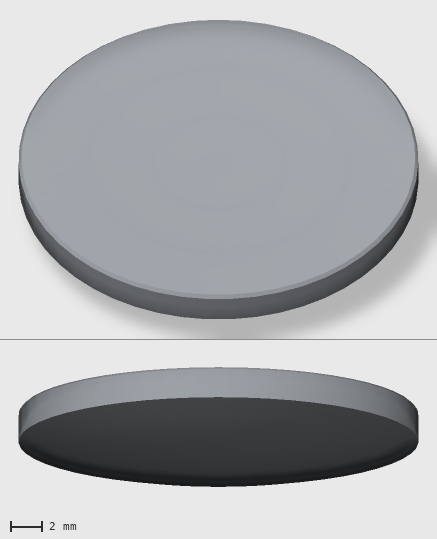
import cadquery as cq
import math

diameter = 25.4
convex_radius = 47.9
concave_radius = 145.0
rim_thickness = 2.0
bevel = 0.2

lens_radius = diameter / 2
upper_face_radius = lens_radius - bevel


def sagitta(sphere_radius, aperture_radius):
    """Depth of a spherical cap with the given aperture radius."""
    return sphere_radius - math.sqrt(sphere_radius**2 - aperture_radius**2)


rim_bottom = sagitta(convex_radius, lens_radius)
rim_top = rim_bottom + rim_thickness
concave_centre = rim_top - sagitta(concave_radius, upper_face_radius)

convex_middle = (lens_radius / 2, sagitta(convex_radius, lens_radius / 2))
concave_middle = (
    upper_face_radius / 2,
    concave_centre + sagitta(concave_radius, upper_face_radius / 2),
)


def revolved_lens():
    """Half section in the YZ plane, revolved once around the optical axis."""
    half_section = (
        cq.Workplane("YZ")
        .moveTo(0, 0)
        .threePointArc(convex_middle, (lens_radius, rim_bottom))
        .lineTo(lens_radius, rim_top - bevel)
        .lineTo(upper_face_radius, rim_top)
        .threePointArc(concave_middle, (0, concave_centre))
        .close()
    )
    return half_section.revolve(360, (0, 0), (0, 1))


result = revolved_lens()